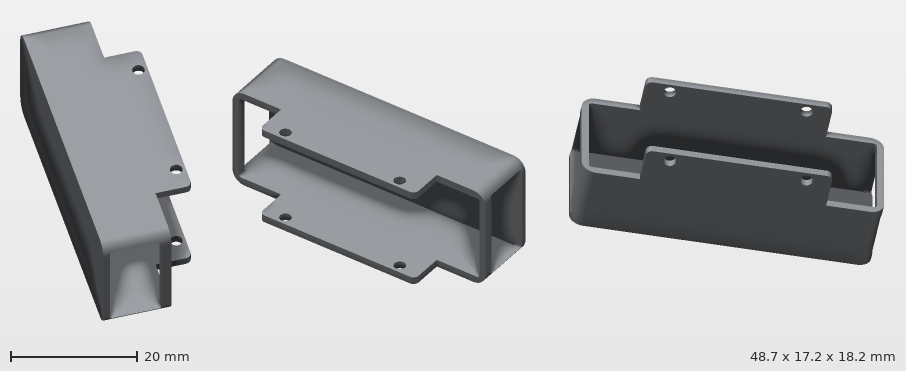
import cadquery as cq

length = 48.7
height = 18.2
body_depth = 11.15
corner_radius = 2.35
front_wall = 1.0
end_wall = 1.15
cavity_corner_radius = 0.5
plate_thickness = 1.3

total_depth = 17.2
tab_length = 30.0
tab_corner_radius = 1.0
hole_diameter = 2.0
hole_spacing = 22.0
hole_edge_distance = 1.5

window_rear_post = 1.65
window_corner_radius = 0.5

inner_height = height - 2 * plate_thickness


def make_shell():
    """Rounded box with a round-cornered cavity behind the front wall."""
    outer = (
        cq.Workplane("XY")
        .box(length, body_depth, height, centered=(True, False, True))
        .edges("|Y")
        .fillet(corner_radius)
    )
    cavity = (
        cq.Workplane("XY")
        .box(length - 2 * end_wall, body_depth, inner_height, centered=(True, False, True))
        .edges("|Y")
        .fillet(cavity_corner_radius)
        .translate((0, front_wall, 0))
    )
    return outer.cut(cavity)


def make_tab(bottom):
    """Plate with rounded rear corners and two screw holes, its underside at Z = bottom."""
    plate = (
        cq.Workplane("XY")
        .box(tab_length, total_depth, plate_thickness, centered=(True, False, False))
        .edges("|Z and >Y")
        .fillet(tab_corner_radius)
    )
    hole_y = total_depth - hole_edge_distance
    holes = (
        cq.Workplane("XY")
        .pushPoints([(-hole_spacing / 2, hole_y), (hole_spacing / 2, hole_y)])
        .circle(hole_diameter / 2)
        .extrude(plate_thickness)
    )
    return plate.cut(holes).translate((0, 0, bottom))


def make_windows():
    """Round-cornered bar along X that opens both end walls to the full cavity height."""
    window_depth = body_depth - front_wall - window_rear_post
    return (
        cq.Workplane("XY")
        .box(length, window_depth, inner_height, centered=(True, False, True))
        .edges("|X")
        .fillet(window_corner_radius)
        .translate((0, front_wall, 0))
    )


result = make_shell().cut(make_windows())
for tab_bottom in (-height / 2, inner_height / 2):
    result = result.union(make_tab(tab_bottom))